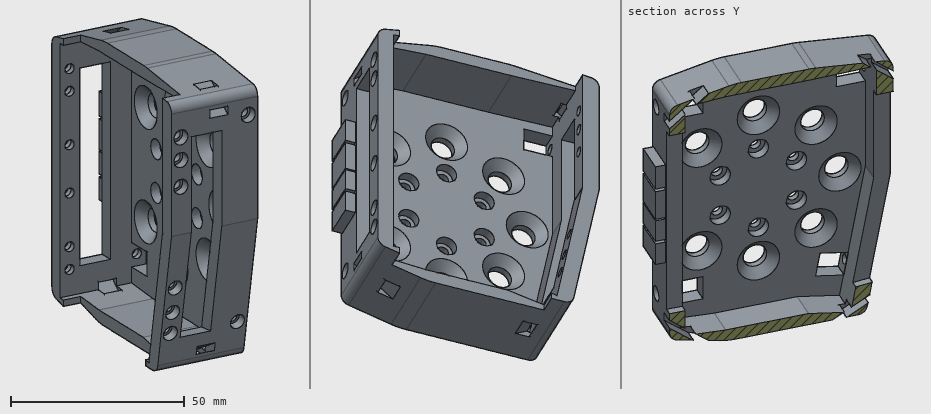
import cadquery as cq
import math


depth = 28.75
top_bottom_wall_depth = 23.0
plate_thickness = 5.0
half_height = 44.0
left_x = -30.7
right_x = 37.95
corner_radius = 3.0
crest_radius = 20.0

top_left_crest_x = -10.6
top_right_crest_x = 13.1
bottom_left_crest_x = -12.9
top_left_slope = math.tan(math.radians(11))
top_right_slope = math.tan(math.radians(6))
bottom_left_slope = math.tan(math.radians(13.5))
outer_corners = (0, 3, 5, 7)
crests = (1, 2, 6)

lean_angle = 10.5
outer_bend_z = 0.9
lean = math.tan(math.radians(lean_angle))

left_wall = 4.85
right_wall = 5.15
cavity_half_height = 40.0
cavity_left_x = left_x + left_wall
cavity_right_x = right_x - right_wall
cavity_bend_z = outer_bend_z - right_wall * math.tan(math.radians(lean_angle / 2))
cavity_left_drop = 0.8
cavity_left_break_x = -13.5
cavity_right_rise = 0.35
cavity_top_break_x = 13.0
cavity_bottom_break_x = 11.9

recess_left_x = -24.0
recess_bottom_right_x = 23.1

mount_circle_radius = 25.0
mount_hole_diameter = 7.2
mount_sink_diameter = 13.0
mount_angles = (0, 45, 90, 135, 225, 270, 315)
screw_circle_radius = 13.5
screw_hole_diameter = 3.5
screw_bore_diameter = 6.2
screw_bore_depth = 3.0
screw_angles = range(30, 360, 60)

window_width = 8.85
window_height = 7.6
window_top_z = 33.3
window_bottom_z = -30.5
leaning_window_distance = 31.75

wall_hole_diameter = 3.0
wall_bore_diameter = 4.6
wall_bore_depth = 3.0
front_hole_depth = 25.6
rear_hole_depth = 3.15
left_front_holes_z = (30.9, 23.9, 7.4, -7.5, -24.1, -31.1)
right_front_holes_z = (30.9, 23.9, 15.65)
leaning_front_hole_distances = (17.9, 26.1, 33.1)
left_rear_holes_z = (33.5, -30.6)
right_rear_hole_z = 33.5
leaning_rear_hole_distance = 33.85

opening_near_depth = 12.0
opening_far_depth = 22.15
opening_top_z = 30.4
opening_bottom_z = -30.6
leaning_opening_length = 35.1

slot_near_depth = 10.0
slot_far_depth = 16.0
slot_thickness = 2.0
slot_length = 30.0
slot_angle = 38.5
tie_slot_places = (
    ((-25.7, 38.15), slot_angle),
    ((-25.7, -38.3), -slot_angle),
    ((34.7, 38.8), -slot_angle),
    ((28.2, -40.4), slot_angle - lean_angle),
)

block_height = 3.15
block_near_depth = 0.9
block_far_depth = 11.2
block_spans = ((-15.0, -7.95), (-7.05, 0.0), (0.5, 10.0), (10.9, 18.55))

overshoot = 5.0
break_through = 0.5


def slab(outline, near, far):
    """Extrude an XZ outline between two depths."""
    return cq.Workplane("XZ", origin=(0, -near, 0)).polyline(outline).close().extrude(far - near)


def cylinder(diameter, start, direction, length):
    solid = cq.Solid.makeCylinder(diameter / 2, length, cq.Vector(*start), cq.Vector(*direction))
    return cq.Workplane(solid)


def polar(radius, angle):
    return radius * math.cos(math.radians(angle)), radius * math.sin(math.radians(angle))


def rectangle(x0, x1, z0, z1):
    return [(x0, z0), (x1, z0), (x1, z1), (x0, z1)]


def turned_slab(centre, width, height, angle, near, far):
    """A rectangle about an XZ centre, turned by an angle from X toward Z."""
    plane = cq.Workplane("XZ", origin=(centre[0], -near, centre[1]))
    return plane.transformed(rotate=(0, 0, angle)).rect(width, height).extrude(far - near)


def on_leaning_face(distance, inset):
    """XZ point a distance down the leaning wall from the bend, set in from its outer face."""
    angle = math.radians(lean_angle)
    bend_x = right_x - inset
    bend_z = outer_bend_z - inset * math.tan(angle / 2)
    return bend_x - distance * math.sin(angle), bend_z - distance * math.cos(angle)


def outer_outline():
    bottom_right_x = right_x - (half_height + outer_bend_z) * lean
    return [
        (left_x, half_height - (top_left_crest_x - left_x) * top_left_slope),
        (top_left_crest_x, half_height),
        (top_right_crest_x, half_height),
        (right_x, half_height - (right_x - top_right_crest_x) * top_right_slope),
        (right_x, outer_bend_z),
        (bottom_right_x, -half_height),
        (bottom_left_crest_x, -half_height),
        (left_x, -half_height + (bottom_left_crest_x - left_x) * bottom_left_slope),
    ]


def near_edge(x, z):
    """Select the depthwise edge at an XZ corner of the outer outline."""
    margin = 1.0
    return cq.selectors.BoxSelector((x - margin, -depth, z - margin), (x + margin, 0, z + margin))


def body():
    outline = outer_outline()
    block = slab(outline, 0, depth)
    for index in outer_corners:
        block = block.edges("|Y").edges(near_edge(*outline[index])).fillet(corner_radius)
    for index in crests:
        block = block.edges("|Y").edges(near_edge(*outline[index])).fillet(crest_radius)
    return block


def cavity():
    run = cavity_right_x - cavity_bottom_break_x - (cavity_half_height + cavity_bend_z) * lean
    corner_x = cavity_bottom_break_x + run / (1 + lean**2)
    corner_z = -cavity_half_height - (corner_x - cavity_bottom_break_x) * lean
    outline = [
        (cavity_left_x, cavity_half_height - cavity_left_drop),
        (cavity_left_break_x, cavity_half_height),
        (cavity_top_break_x, cavity_half_height),
        (cavity_right_x, cavity_half_height + cavity_right_rise),
        (cavity_right_x, cavity_bend_z),
        (cavity_right_x - (cavity_bend_z - corner_z) * lean, corner_z),
        (cavity_bottom_break_x, -cavity_half_height),
        (cavity_left_break_x, -cavity_half_height),
        (cavity_left_x, -cavity_half_height + cavity_left_drop),
    ]
    return slab(outline, plate_thickness, depth)


def rim_recesses():
    top = rectangle(recess_left_x, cavity_right_x, 0, half_height + overshoot)
    bottom = rectangle(recess_left_x, recess_bottom_right_x, -half_height - overshoot, 0)
    near, far = top_bottom_wall_depth, depth
    return slab(top, near, far).union(slab(bottom, near, far))


def plate_holes(part):
    sink_depth = (mount_sink_diameter - mount_hole_diameter) / 2
    for angle in mount_angles:
        x, z = polar(mount_circle_radius, angle)
        sink = cq.Solid.makeCone(
            mount_sink_diameter / 2,
            mount_hole_diameter / 2,
            sink_depth,
            cq.Vector(x, -plate_thickness, z),
            cq.Vector(0, 1, 0),
        )
        part = part.cut(cylinder(mount_hole_diameter, (x, 0, z), (0, -1, 0), plate_thickness))
        part = part.cut(cq.Workplane(sink))
    for angle in screw_angles:
        x, z = polar(screw_circle_radius, angle)
        part = part.cut(cylinder(screw_hole_diameter, (x, 0, z), (0, -1, 0), plate_thickness))
        part = part.cut(cylinder(screw_bore_diameter, (x, -plate_thickness, z), (0, 1, 0), screw_bore_depth))
    return part


def plate_windows(part):
    left_centre = cavity_left_x + window_width / 2
    right_centre = cavity_right_x - window_width / 2
    for x, z in ((left_centre, window_top_z), (left_centre, window_bottom_z), (right_centre, window_top_z)):
        part = part.cut(turned_slab((x, z), window_width, window_height, 0, 0, plate_thickness))
    centre = on_leaning_face(leaning_window_distance, right_wall + window_width / 2)
    return part.cut(turned_slab(centre, window_width, window_height, -lean_angle, 0, plate_thickness))


def wall_hole(part, x, z, hole_depth, inward, wall):
    """Counterbored hole entering a side wall from its outer face."""
    start = (x, -hole_depth, z)
    part = part.cut(cylinder(wall_hole_diameter, start, inward, wall + break_through))
    return part.cut(cylinder(wall_bore_diameter, start, inward, wall_bore_depth))


def left_wall_holes(part):
    inward = (1, 0, 0)
    for z in left_front_holes_z:
        part = wall_hole(part, left_x, z, front_hole_depth, inward, left_wall)
    for z in left_rear_holes_z:
        part = wall_hole(part, left_x, z, rear_hole_depth, inward, left_wall)
    return part


def right_wall_holes(part):
    inward = (-1, 0, 0)
    for z in right_front_holes_z:
        part = wall_hole(part, right_x, z, front_hole_depth, inward, right_wall)
    return wall_hole(part, right_x, right_rear_hole_z, rear_hole_depth, inward, right_wall)


def leaning_wall_holes(part):
    angle = math.radians(lean_angle)
    inward = (-math.cos(angle), 0, math.sin(angle))
    for distance in leaning_front_hole_distances:
        x, z = on_leaning_face(distance, 0)
        part = wall_hole(part, x, z, front_hole_depth, inward, right_wall)
    x, z = on_leaning_face(leaning_rear_hole_distance, 0)
    return wall_hole(part, x, z, rear_hole_depth, inward, right_wall)


def wall_openings(part):
    near, far = opening_near_depth, opening_far_depth
    left = rectangle(left_x - overshoot, cavity_left_x + break_through, opening_bottom_z, opening_top_z)
    inner = right_wall + break_through
    outer = -overshoot
    right = [
        (right_x - inner, opening_top_z),
        (right_x - outer, opening_top_z),
        on_leaning_face(0, outer),
        on_leaning_face(leaning_opening_length, outer),
        on_leaning_face(leaning_opening_length, inner),
        on_leaning_face(0, inner),
    ]
    return part.cut(slab(left, near, far)).cut(slab(right, near, far))


def tie_slots(part):
    for centre, angle in tie_slot_places:
        slot = turned_slab(centre, slot_length, slot_thickness, angle, slot_near_depth, slot_far_depth)
        part = part.cut(slot)
    return part


def raised_blocks(part):
    for bottom, top in block_spans:
        outline = rectangle(left_x - block_height, left_x + break_through, bottom, top)
        part = part.union(slab(outline, block_near_depth, block_far_depth))
    return part


result = body().cut(cavity()).cut(rim_recesses())
result = plate_holes(result)
result = plate_windows(result)
result = left_wall_holes(result)
result = right_wall_holes(result)
result = leaning_wall_holes(result)
result = wall_openings(result)
result = tie_slots(result)
result = raised_blocks(result)